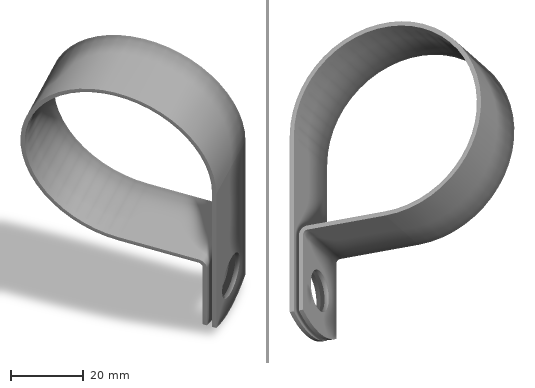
import cadquery as cq
import math

height = 84.6
width = 22.2
thickness = 1.3
loop_radius = 29.0
leg_gap = 1.5
bend_inner_radius = 1.3
short_leg_hole_diameter = 11.9
long_leg_hole_diameter = 13.4
hole_height = 12.8
tip_rise = 2.7

inner_radius = loop_radius - thickness
bend_outer_radius = bend_inner_radius + thickness
bottom = loop_radius - height
short_leg_outer = inner_radius - leg_gap
short_leg_inner = short_leg_outer - thickness
bend_x = short_leg_outer - bend_outer_radius
bend_z = -loop_radius - bend_inner_radius
diagonal = math.sqrt(0.5)


def make_strip():
    """Constant-thickness strip: long leg, three-quarter loop, shelf, bend and short leg."""
    profile = (
        cq.Workplane("XZ")
        .moveTo(loop_radius, bottom)
        .lineTo(loop_radius, 0)
        .threePointArc((-loop_radius * diagonal, loop_radius * diagonal), (0, -loop_radius))
        .lineTo(bend_x, -loop_radius)
        .threePointArc(
            (bend_x + bend_inner_radius * diagonal, bend_z + bend_inner_radius * diagonal),
            (short_leg_inner, bend_z),
        )
        .lineTo(short_leg_inner, bottom)
        .lineTo(short_leg_outer, bottom)
        .lineTo(short_leg_outer, bend_z)
        .threePointArc(
            (bend_x + bend_outer_radius * diagonal, bend_z + bend_outer_radius * diagonal),
            (bend_x, -inner_radius),
        )
        .lineTo(0, -inner_radius)
        .threePointArc((-inner_radius * diagonal, inner_radius * diagonal), (inner_radius, 0))
        .lineTo(inner_radius, bottom)
        .close()
    )
    return profile.extrude(width / 2, both=True)


def make_side_outline():
    """Full-width block with an arched lower edge that rounds both leg tips."""
    corner_z = bottom + tip_rise
    return (
        cq.Workplane("YZ")
        .moveTo(-width / 2, loop_radius)
        .lineTo(-width / 2, corner_z)
        .threePointArc((0, bottom), (width / 2, corner_z))
        .lineTo(width / 2, loop_radius)
        .close()
        .extrude(loop_radius, both=True)
    )


def make_leg_hole(inner_face, diameter):
    """Cylinder along X that pierces the leg whose loop-side face is at the given X."""
    return (
        cq.Workplane("YZ", origin=(inner_face, 0, bottom + hole_height))
        .circle(diameter / 2)
        .extrude(thickness)
    )


result = (
    make_strip()
    .intersect(make_side_outline())
    .cut(make_leg_hole(short_leg_inner, short_leg_hole_diameter))
    .cut(make_leg_hole(inner_radius, long_leg_hole_diameter))
)